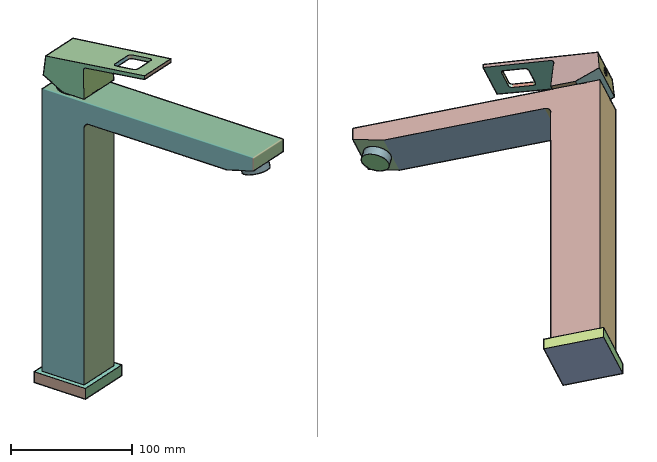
import cadquery as cq
import math

base_side = 52.0
base_height = 10.0
body_side = 42.8
body_half = body_side / 2
body_top = 273.2
edge_round = 1.0

total_length = 219.5
spout_end = total_length - base_side / 2
spout_under = 254.0
spout_corner_radius = 5.0
slope_start = 166.2
tip_bottom = 261.2

aerator_diameter = 24.0
aerator_length = 8.0
aerator_embed = 3.0
aerator_x = 178.5

cone_radius = 18.0
cone_top_radius = 10.0
cone_height = 12.3

lever_bottom = 276.0
lever_top = 314.7
lever_back_top = (-19.0, 303.5)
lever_back_bottom = (-20.5, 285.7)
lever_tip_x = 81.0
lever_tip_thickness = 3.5
lever_neck = (19.2, 304.0)
lever_neck_radius = 3.0
lever_top_width = 37.5
window_side = 23.5
window_x = 55.7
window_corner_radius = 2.8
dot_diameter = 7.0
dot_depth = 0.5
dot_z = 297.0


def make_body():
    base = cq.Workplane("XY").box(base_side, base_side, base_height, centered=(True, True, False))
    body = (
        cq.Workplane("XZ")
        .moveTo(-body_half, 0)
        .lineTo(-body_half, body_top)
        .lineTo(spout_end, body_top)
        .lineTo(spout_end, tip_bottom)
        .lineTo(slope_start, spout_under)
        .lineTo(body_half + spout_corner_radius, spout_under)
        .radiusArc((body_half, spout_under - spout_corner_radius), -spout_corner_radius)
        .lineTo(body_half, 0)
        .close()
        .extrude(body_half, both=True)
    )
    body = body.faces(">Z or >X").edges().fillet(edge_round)
    return base.union(body)


def make_aerator():
    slope = math.atan2(tip_bottom - spout_under, spout_end - slope_start)
    down = cq.Vector(math.sin(slope), 0, -math.cos(slope))
    slope_z = spout_under + (aerator_x - slope_start) * math.tan(slope)
    start = cq.Vector(aerator_x, 0, slope_z) - down * aerator_embed
    plane = cq.Plane(origin=start, xDir=(0, 1, 0), normal=down)
    return cq.Workplane(plane).circle(aerator_diameter / 2).extrude(aerator_embed + aerator_length)


def make_cone():
    return (
        cq.Workplane("XY", origin=(0, 0, body_top))
        .circle(cone_radius)
        .workplane(offset=cone_height)
        .circle(cone_top_radius)
        .loft()
    )


def make_lever():
    profile = (
        cq.Workplane("XZ")
        .moveTo(0, lever_bottom)
        .lineTo(*lever_back_bottom)
        .lineTo(*lever_back_top)
        .lineTo(lever_tip_x, lever_top)
        .lineTo(lever_tip_x, lever_top - lever_tip_thickness)
        .lineTo(*lever_neck)
        .lineTo(body_half, lever_bottom)
        .close()
        .extrude(body_half, both=True)
    )
    neck_edge = cq.selectors.NearestToPointSelector((lever_neck[0], 0, lever_neck[1]))
    profile = profile.edges("|Y").edges(neck_edge).fillet(lever_neck_radius)

    top_half = lever_top_width / 2
    taper = (
        cq.Workplane("YZ")
        .polyline([
            (-body_half, lever_bottom),
            (body_half, lever_bottom),
            (top_half, lever_top),
            (-top_half, lever_top),
        ])
        .close()
        .extrude(total_length, both=True)
    )

    rise = lever_top - lever_back_top[1]
    tilt = math.atan2(rise, lever_tip_x - lever_back_top[0])
    window_z = lever_top - (lever_tip_x - window_x) * math.tan(tilt)
    normal = (-math.sin(tilt), 0, math.cos(tilt))
    plane = cq.Plane(origin=(window_x, 0, window_z), xDir=(0, 1, 0), normal=normal)
    window = (
        cq.Workplane(plane)
        .rect(window_side, window_side)
        .extrude(body_half / 2, both=True)
        .edges("|(%f, %f, %f)" % normal)
        .fillet(window_corner_radius)
    )
    return profile.intersect(taper).cut(window)


def make_dot():
    """Shallow round mark in the back face of the lever."""
    run = lever_back_top[0] - lever_back_bottom[0]
    rise = lever_back_top[1] - lever_back_bottom[1]
    face_x = lever_back_bottom[0] + run * (dot_z - lever_back_bottom[1]) / rise
    plane = cq.Plane(origin=(face_x, 0, dot_z), xDir=(0, 1, 0), normal=(rise, 0, -run))
    return cq.Workplane(plane).circle(dot_diameter / 2).extrude(dot_depth)


result = make_body().union(make_aerator()).union(make_cone()).union(make_lever()).cut(make_dot())